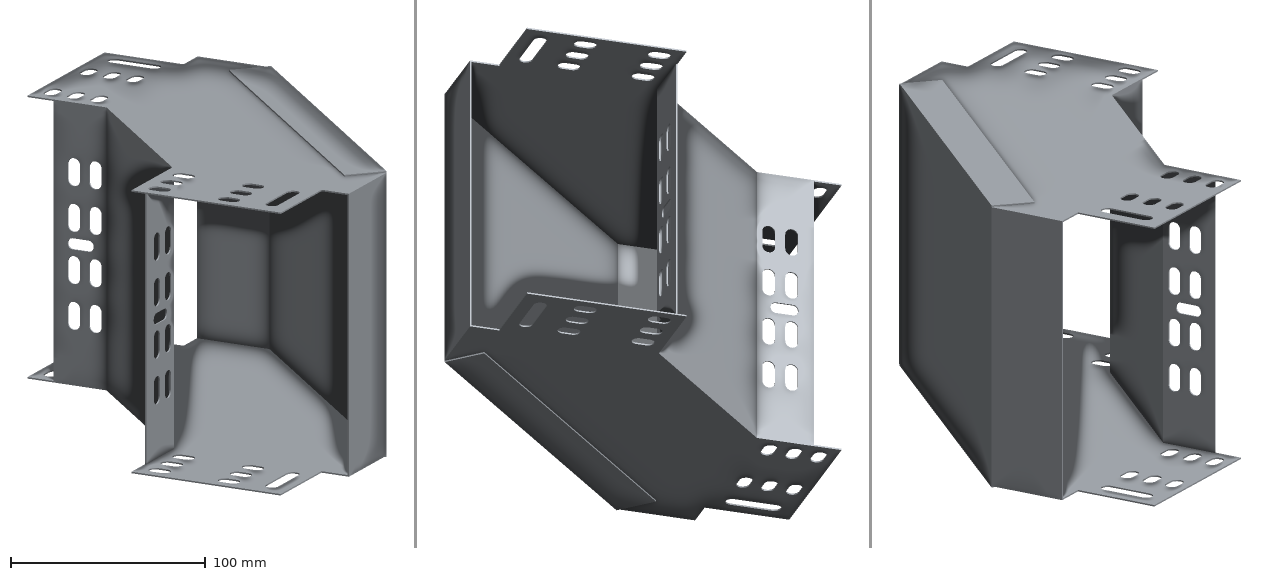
import cadquery as cq
import math


sheet = 0.8
overall = 226.37
clear_width = 100.3
clear_height = 150.0
arm_length = 45.65
cutback = 15.0
web_setback = 15.0
lip_width = 22.7

plate_width = sheet + clear_width
outer_width = plate_width + sheet
channel_height = clear_height + 2 * sheet
cover_height = channel_height + 2 * sheet
inner_edge = overall - outer_width
half_bend = math.tan(math.radians(45 / 2))

plate_slot_width = 7.0
plate_slot_length = 12.0
plate_slot_first = 8.5
plate_slot_pitch = 13.4
plate_slot_columns = 3
plate_slot_rows = (11.9, 51.9)
long_slot_length = 30.0
long_slot_from_end = 22.8
long_slot_from_edge = 75.4

web_slot_width = 7.0
web_slot_length = 15.0
web_slot_columns = (26.9, 39.3)
web_slot_heights = (14.0, 38.5)
center_slot_width = 6.0
center_slot_length = 15.0
center_slot_from_end = 30.8


def elbow_line(offset, end):
    """Bent line parallel to the inner edge, moved outward by offset, starting at distance end."""
    level = inner_edge + offset
    bend = arm_length + offset * half_bend
    return [(end, level), (bend, level), (level, bend), (level, end)]


def prism(points, height):
    """Vertical prism centred on mid-height."""
    return cq.Workplane("XY").polyline(points).close().extrude(height / 2, both=True)


def bent_wall(inner_offset, end, height):
    """Sheet wall following the elbow between inner_offset and one sheet thickness further out."""
    inner_line = elbow_line(inner_offset, end)
    outer_line = elbow_line(inner_offset + sheet, end)
    return prism(inner_line + outer_line[::-1], height)


def both_arms(cutter):
    """The cutter of the X arm together with its mirror image in the Y arm."""
    mirrored = cutter.rotate((0, 0, 0), (1, 1, 0), 180)
    return cutter.union(mirrored)


def plate_slots():
    """Slots through both plates of the X arm."""
    columns = [plate_slot_first + i * plate_slot_pitch for i in range(plate_slot_columns)]
    places = [(x, inner_edge + row) for x in columns for row in plate_slot_rows]
    short_slots = (
        cq.Workplane("XY")
        .pushPoints(places)
        .slot2D(plate_slot_length, plate_slot_width, 90)
        .extrude(channel_height, both=True)
    )
    long_slot = (
        cq.Workplane("XY")
        .center(long_slot_from_end, inner_edge + long_slot_from_edge)
        .slot2D(long_slot_length, plate_slot_width)
        .extrude(channel_height, both=True)
    )
    return short_slots.union(long_slot)


def web_slots():
    """Slots through the inner wall of the X arm."""
    wall_plane = cq.Workplane("XZ", origin=(0, inner_edge, 0))
    heights = [side * z for side in (-1, 1) for z in web_slot_heights]
    places = [(x, z) for x in web_slot_columns for z in heights]
    upright_slots = (
        wall_plane.pushPoints(places)
        .slot2D(web_slot_length, web_slot_width, 90)
        .extrude(2 * sheet, both=True)
    )
    center_slot = (
        wall_plane.center(center_slot_from_end, 0)
        .slot2D(center_slot_length, center_slot_width)
        .extrude(2 * sheet, both=True)
    )
    return upright_slots.union(center_slot)


def make_channel():
    """Top and bottom plates joined by the slotted inner wall."""
    inner_line = elbow_line(0, 0)
    outer_line = elbow_line(plate_width, arm_length)
    step = inner_edge + plate_width - cutback
    x_arm_step = [(0, step), (arm_length, step)]
    y_arm_step = [(step, 0), (step, arm_length)]
    outline = inner_line + y_arm_step + outer_line[::-1] + x_arm_step[::-1]

    plates = prism(outline, channel_height).cut(prism(outline, clear_height))
    web = bent_wall(0, web_setback, channel_height)
    return plates.union(web).cut(both_arms(plate_slots())).cut(both_arms(web_slots()))


def make_lips():
    """Strips along the outer diagonal, covering the plates above and below."""
    _, upper, lower, _ = elbow_line(plate_width, arm_length)
    outward = sheet / math.sqrt(2)
    inward = (lip_width - sheet) / math.sqrt(2)
    outline = [
        (upper[0] + outward, upper[1] + outward),
        (lower[0] + outward, lower[1] + outward),
        (lower[0] - inward, lower[1] - inward),
        (upper[0] - inward, upper[1] - inward),
    ]
    return prism(outline, cover_height).cut(prism(outline, channel_height))


def make_cover():
    """Outer wall with its two end flaps and the two lips."""
    wall = bent_wall(plate_width, arm_length, channel_height)
    return wall.union(make_lips())


channel = make_channel()
cover = make_cover()
result = cq.Compound.makeCompound([channel.val(), cover.val()])